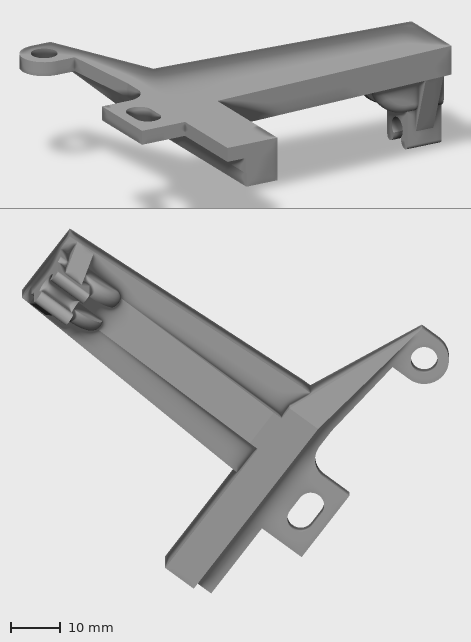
import cadquery as cq
import math


plate_depth = 3.0
arm_depth = 6.2
bar_depth = 9.2
total_depth = 22.37

hole_diameter = 5.4
lug_radius = 5.0
ear_center_x = 39.65
ear_width = 16.0
slot_length = 8.75
web_inner_y = 4.2
web_bend = (23.0, 6.0)
web_fillet = 4.65

bar_end_x = 64.65
bar_front_y = 5.0
bar_back_y = 16.6
ear_left_x = ear_center_x - ear_width / 2
ear_right_x = ear_center_x + ear_width / 2

arm_center_x = 29.65
arm_end_y = 73.0
arm_end_half_width = 8.0
arm_root_half_width = 11.05
arm_left_root_y = 14.6

web_tip = (-lug_radius, 4.35)
stiffener_start_x = web_bend[0]
stiffener_front_y = 9.4
ledge_start = (15.8, 8.05)
ledge_arc_mid = (18.7, 8.4)
ledge_arc_end = (21.4, 8.85)
ledge_bend = (22.4, 9.05)
ledge_front_y = 9.15
ledge_wedge_end = (18.5, 8.33)

rib_width = 8.0
rib_flat_end_y = 18.6
rib_end_y = 62.0

clip_width = 8.0
clip_length = 8.0
clip_bore_diameter = 4.4
clip_bore_z = -18.7
clip_mouth = 3.0
clip_tip_outer_fillet = 0.9
clip_tip_inner_fillet = 1.55

cheek_outer_width = 9.8
cheek_gap = 3.9
cheek_bead_radius = 1.95
cheek_corner_radius = 8.1

gusset_depth = 18.6
gusset_thickness = 4.1
gusset_inset = 1.9


def prism_down(outline, depth):
    """Extrude an XY outline from the top face downwards."""
    return outline.extrude(-depth)


def box_between(low, high):
    """Axis-aligned box between two opposite corners."""
    size = [b - a for a, b in zip(low, high)]
    return cq.Workplane("XY").box(*size, centered=False).translate(low)


def pyramid(base, apex):
    """Solid pyramid on a planar polygonal base."""
    loops = [base]
    for start, end in zip(base, base[1:] + base[:1]):
        loops.append([start, end, apex])
    faces = []
    for loop in loops:
        wire = cq.Wire.makePolygon([cq.Vector(*p) for p in loop], close=True)
        faces.append(cq.Face.makeFromWires(wire))
    solid = cq.Solid.makeSolid(cq.Shell.makeShell(faces))
    return cq.Workplane(obj=solid.fix())


def make_plate():
    """Top plate: lug, web, slotted ear and crossbar."""
    bend_x, bend_y = web_bend
    corner = web_fillet * (1 - math.sqrt(0.5))
    outline = (
        cq.Workplane("XY")
        .moveTo(-lug_radius, 0)
        .threePointArc((0, -lug_radius), (lug_radius, 0))
        .lineTo(lug_radius, web_inner_y)
        .lineTo(bend_x, bend_y)
        .lineTo(ear_left_x - web_fillet, bend_y)
        .threePointArc((ear_left_x - corner, bend_y - corner), (ear_left_x, bend_y - web_fillet))
        .lineTo(ear_left_x, -lug_radius)
        .lineTo(ear_right_x, -lug_radius)
        .lineTo(ear_right_x, bar_front_y)
        .lineTo(bar_end_x, bar_front_y)
        .lineTo(bar_end_x, bar_back_y)
        .lineTo(stiffener_start_x, bar_back_y)
        .lineTo(*web_tip)
        .close()
    )
    return prism_down(outline, plate_depth)


def make_arm():
    """Tapered arm, thicker than the plate."""
    outline = cq.Workplane("XY").polyline([
        (arm_center_x - arm_end_half_width, arm_end_y),
        (arm_center_x + arm_end_half_width, arm_end_y),
        (arm_center_x + arm_root_half_width, bar_back_y),
        (stiffener_start_x, bar_back_y),
        (arm_center_x - arm_root_half_width, arm_left_root_y),
        (arm_center_x - arm_root_half_width, bar_back_y),
    ]).close()
    return prism_down(outline, arm_depth)


def make_stiffener():
    """Deep bar under the crossbar, its front ledge and the wedges running out to the lug."""
    bar = box_between(
        (stiffener_start_x, stiffener_front_y, -bar_depth),
        (bar_end_x, bar_back_y, 0),
    )
    ledge = prism_down(
        cq.Workplane("XY")
        .moveTo(*ledge_start)
        .threePointArc(ledge_arc_mid, ledge_arc_end)
        .lineTo(*ledge_bend)
        .lineTo(stiffener_start_x, ledge_front_y)
        .lineTo(bar_end_x, ledge_front_y)
        .lineTo(bar_end_x, bar_back_y)
        .lineTo(stiffener_start_x, bar_back_y)
        .close(),
        arm_depth,
    )
    apex = (*web_tip, -plate_depth)
    wedge = pyramid([
        (stiffener_start_x, stiffener_front_y, -plate_depth),
        (stiffener_start_x, bar_back_y, -plate_depth),
        (stiffener_start_x, bar_back_y, -bar_depth),
        (stiffener_start_x, stiffener_front_y, -bar_depth),
    ], apex)
    end_x, end_y = ledge_wedge_end
    run = (end_x - web_tip[0]) / (stiffener_start_x - web_tip[0])
    end_z = -plate_depth - run * (arm_depth - plate_depth)
    upper_wedge = pyramid([
        (end_x, end_y, -plate_depth),
        (end_x, stiffener_front_y, -plate_depth),
        (end_x, stiffener_front_y, end_z),
        (end_x, end_y, end_z),
    ], apex)
    return bar.union(ledge).union(wedge).union(upper_wedge)


def make_rib():
    """Rib under the arm, running out towards the clip."""
    profile = cq.Workplane("YZ").polyline([
        (bar_back_y, -plate_depth),
        (bar_back_y, -bar_depth),
        (rib_flat_end_y, -bar_depth),
        (rib_end_y, -arm_depth),
        (rib_end_y, -plate_depth),
    ]).close()
    return profile.extrude(rib_width / 2, both=True).translate((arm_center_x, 0, 0))


def make_cheeks():
    """Pair of cheeks whose free edge is a round bead that turns up into the arm."""
    corner_y = arm_end_y - clip_length
    bead_turn = cheek_corner_radius - cheek_bead_radius
    diagonal = bead_turn * math.sqrt(0.5)
    bead_z = -arm_depth - bead_turn
    bead_center = cheek_outer_width / 2 - cheek_bead_radius

    def bead_path():
        return (
            cq.Workplane("YZ")
            .moveTo(arm_end_y, bead_z)
            .lineTo(corner_y, bead_z)
            .threePointArc((corner_y - diagonal, -arm_depth - diagonal), (corner_y - bead_turn, -arm_depth))
        )

    section = cq.Workplane("XZ", origin=(0, arm_end_y, bead_z)).circle(cheek_bead_radius)
    bead = section.sweep(bead_path())
    core = (
        bead_path()
        .lineTo(arm_end_y, -arm_depth)
        .close()
        .extrude(cheek_bead_radius, both=True)
    )
    cheek = core.union(bead)
    pair = cheek.translate((-bead_center, 0, 0)).union(cheek.translate((bead_center, 0, 0)))
    gap = box_between(
        (-cheek_gap / 2, corner_y - cheek_corner_radius, bead_z - cheek_bead_radius),
        (cheek_gap / 2, arm_end_y, -arm_depth),
    )
    return pair.cut(gap).translate((arm_center_x, 0, 0))


def make_clip():
    """Snap clip: a block with a bore, open downwards between two rounded legs."""
    clip_start_y = arm_end_y - clip_length
    block = box_between(
        (arm_center_x - clip_width / 2, clip_start_y, -total_depth),
        (arm_center_x + clip_width / 2, arm_end_y, -plate_depth),
    )
    mouth = box_between(
        (arm_center_x - clip_mouth / 2, clip_start_y, -total_depth),
        (arm_center_x + clip_mouth / 2, arm_end_y, clip_bore_z),
    )
    bore = (
        cq.Workplane("XZ", origin=(arm_center_x, arm_end_y, clip_bore_z))
        .circle(clip_bore_diameter / 2)
        .extrude(clip_length)
    )
    rounded = block.faces("<Z").edges("|Y").fillet(clip_tip_outer_fillet)
    mouth_edges = cq.selectors.BoxSelector(
        (arm_center_x - clip_bore_diameter / 2, clip_start_y, -total_depth - clip_mouth),
        (arm_center_x + clip_bore_diameter / 2, arm_end_y, -total_depth + clip_mouth),
    )
    legs = rounded.cut(mouth).faces("<Z").edges("|Y").edges(mouth_edges).fillet(clip_tip_inner_fillet)
    return legs.cut(bore)


def make_gussets():
    """Sloping gussets from the edges of the arm down to the sides of the clip."""
    back_y = arm_end_y - gusset_inset
    half_clip = clip_width / 2

    def gusset(side):
        profile = cq.Workplane("XZ", origin=(arm_center_x, back_y, 0)).polyline([
            (side * cheek_gap / 2, -arm_depth),
            (side * arm_end_half_width, -arm_depth),
            (side * half_clip, -gusset_depth),
            (side * cheek_gap / 2, -gusset_depth / 2),
        ]).close()
        return profile.extrude(gusset_thickness)

    return gusset(-1).union(gusset(1))


def make_openings():
    """Round lug hole and elongated ear hole."""
    hole = cq.Workplane("XY").circle(hole_diameter / 2)
    slot = cq.Workplane("XY").center(ear_center_x, 0).slot2D(slot_length, hole_diameter)
    return prism_down(hole, plate_depth).union(prism_down(slot, plate_depth))


body = make_plate().union(make_arm()).union(make_stiffener()).union(make_rib())
body = body.union(make_cheeks()).union(make_clip()).union(make_gussets())
result = body.cut(make_openings())